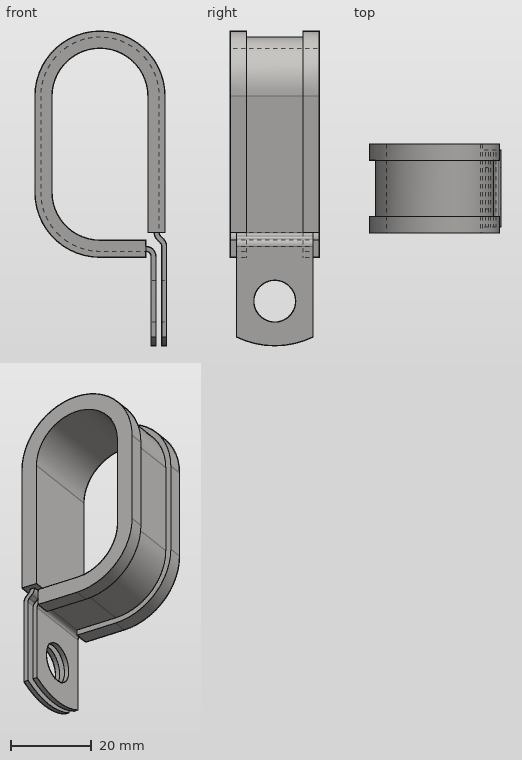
import cadquery as cq
import math

total_height = 78.05
loop_width = 32.3
cushion_width = 22.1
cushion_thickness = 4.3
groove_width = 13.9
strap_thickness = 1.25
strap_width = 19.05
groove_depth = 1.5

loop_bottom = 21.9
long_leg_end = 28.1
short_leg_end = 27.55

outer_tab_right = 32.7
inner_tab_right = 30.05
bend_inner_radius = 1.25
jog_angle = 45.0

hole_diameter = 10.3
hole_height = 11.1
tab_end_rise = 2.2

outer_radius = loop_width / 2
center_x = outer_radius
upper_center_z = total_height - outer_radius
lower_center_z = loop_bottom + outer_radius
strap_inner_depth = groove_depth + strap_thickness
bend_outer_radius = bend_inner_radius + strap_thickness


def loop_area(depth):
    """Area inside the J-shaped loop line lying at a depth below the outer face."""
    radius = outer_radius - depth
    left = depth
    right = loop_width - depth
    bottom = loop_bottom + depth
    diagonal = radius * math.sqrt(0.5)
    return (
        cq.Workplane("XZ")
        .moveTo(center_x, bottom)
        .lineTo(right, bottom)
        .lineTo(right, upper_center_z)
        .threePointArc((center_x, total_height - depth), (left, upper_center_z))
        .lineTo(left, lower_center_z)
        .threePointArc((center_x - diagonal, lower_center_z - diagonal), (center_x, bottom))
        .close()
    )


def band(outer_depth, inner_depth, width):
    """Loop layer between two depths, centred on Y and open at its lower right corner."""
    outer = loop_area(outer_depth).extrude(width / 2, both=True)
    inner = loop_area(inner_depth).extrude(width / 2, both=True)
    opening = (
        cq.Workplane("XY")
        .box(loop_width, width, long_leg_end - loop_bottom, centered=(False, True, False))
        .translate((short_leg_end, 0, loop_bottom))
    )
    return outer.cut(inner).cut(opening)


def point_on_bend(center, radius, angle):
    """Point in the XZ plane at an angle in degrees, counted from +X toward +Z."""
    direction = math.radians(angle)
    return (
        center[0] + radius * math.cos(direction),
        center[1] + radius * math.sin(direction),
    )


def outer_tab():
    """Tab that jogs outward below the vertical leg through two opposite bends."""
    strap_right = loop_width - groove_depth
    slope = math.radians(jog_angle)
    radius_sum = bend_inner_radius + bend_outer_radius
    straight_shift = outer_tab_right - strap_right - radius_sum * (1 - math.cos(slope))
    jog_height = radius_sum * math.sin(slope) + straight_shift / math.tan(slope)
    upper = (strap_right + bend_inner_radius, long_leg_end)
    lower = (outer_tab_right - bend_outer_radius, long_leg_end - jog_height)
    upper_mid = 180 + jog_angle / 2
    upper_end = 180 + jog_angle
    return (
        cq.Workplane("XZ")
        .moveTo(strap_right, long_leg_end)
        .threePointArc(
            point_on_bend(upper, bend_inner_radius, upper_mid),
            point_on_bend(upper, bend_inner_radius, upper_end),
        )
        .lineTo(*point_on_bend(lower, bend_outer_radius, jog_angle))
        .threePointArc(
            point_on_bend(lower, bend_outer_radius, jog_angle / 2),
            point_on_bend(lower, bend_outer_radius, 0),
        )
        .lineTo(outer_tab_right, 0)
        .lineTo(outer_tab_right - strap_thickness, 0)
        .lineTo(*point_on_bend(lower, bend_inner_radius, 0))
        .threePointArc(
            point_on_bend(lower, bend_inner_radius, jog_angle / 2),
            point_on_bend(lower, bend_inner_radius, jog_angle),
        )
        .lineTo(*point_on_bend(upper, bend_outer_radius, upper_end))
        .threePointArc(
            point_on_bend(upper, bend_outer_radius, upper_mid),
            point_on_bend(upper, bend_outer_radius, 180),
        )
        .close()
        .extrude(strap_width / 2, both=True)
    )


def inner_tab():
    """Tab that bends down from the end of the bottom leg."""
    strap_top = loop_bottom + strap_inner_depth
    strap_bottom = loop_bottom + groove_depth
    bend = (inner_tab_right - bend_outer_radius, strap_top - bend_outer_radius)
    tab_left = inner_tab_right - strap_thickness
    embedded_start = short_leg_end - strap_thickness
    return (
        cq.Workplane("XZ")
        .moveTo(embedded_start, strap_top)
        .lineTo(bend[0], strap_top)
        .threePointArc(point_on_bend(bend, bend_outer_radius, 45), (inner_tab_right, bend[1]))
        .lineTo(inner_tab_right, 0)
        .lineTo(tab_left, 0)
        .lineTo(tab_left, bend[1])
        .threePointArc(point_on_bend(bend, bend_inner_radius, 45), (bend[0], strap_bottom))
        .lineTo(embedded_start, strap_bottom)
        .close()
        .extrude(strap_width / 2, both=True)
    )


def tab_outline():
    """Prism along X with the rounded lower end and bolt hole shared by both tabs."""
    half_width = strap_width / 2
    return (
        cq.Workplane("YZ")
        .moveTo(-half_width, long_leg_end)
        .lineTo(-half_width, tab_end_rise)
        .threePointArc((0, 0), (half_width, tab_end_rise))
        .lineTo(half_width, long_leg_end)
        .close()
        .moveTo(0, hole_height)
        .circle(hole_diameter / 2)
        .extrude(outer_tab_right)
    )


cushion = band(0, cushion_thickness, cushion_width)
groove = band(0, groove_depth, groove_width)
tabs = outer_tab().union(inner_tab()).intersect(tab_outline())

result = cushion.cut(groove).union(tabs)